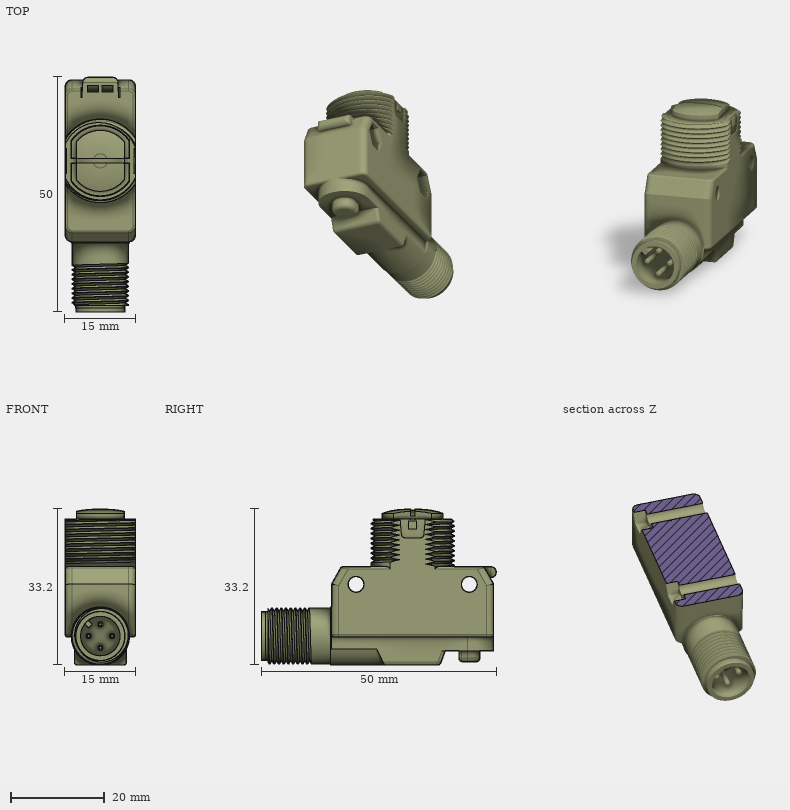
import cadquery as cq
import math


WIDTH = 15.0
LENGTH = 34.5
HOUSING_BOTTOM = 6.0
HOUSING_TOP = 20.95
SLOPE_START = 17.3
SLOPE_RUN = 2.05
CORNER_RADIUS = 1.5
EDGE_RADIUS = 0.5

HOLE_DIA = 3.3
HOLE_Y = 12.05
HOLE_Z = 17.2
NUT_ACROSS_CORNERS = 6.5
NUT_DEPTH = 2.5

BARREL_RADIUS = 8.9
BARREL_ROOT_RADIUS = 8.0
BARREL_TOP = 31.1
BARREL_CHAMFER = 0.6
BARREL_PITCH = 1.05
BARREL_GROOVE_Z = 22.25
BARREL_GROOVE_SWEEP = 150.0
BARREL_TURNS = 10

CAP_RADIUS = 6.5
CAP_HALF_WIDTH = 5.1
CAP_EDGE_Z = 32.3
CAP_TOP = 33.2
CAP_FLAT_RADIUS = 1.5
SLOT_WIDTH = 1.0
SLOT_CENTER_DEPTH = 0.2
SLOT_END_Z = 31.7

RING_RADIUS = 7.6
RING_HALF_WIDTH = 6.25
RING_GAP = 0.9
RING_GROOVE = 0.15

MARKER_TOP_WIDTH = 5.35
MARKER_BOTTOM_WIDTH = 4.7
MARKER_BOTTOM = 27.1
MARKER_RADIUS = 0.8
MARKER_DEPTH = 0.35
WINDOW_SIZE = 1.7
WINDOW_Z = 29.8

COVER_HALF_WIDTH = 5.55
COVER_PLATE_BOTTOM = 3.05
COVER_STEP_Y = 6.95
COVER_STEP_RUN = 1.1
BLOCK_FRONT_BOTTOM_Y = -6.0
BLOCK_FRONT_TOP_Y = -9.4
COVER_EDGE_RADIUS = 0.65
STEP_RADIUS = 0.9

FOOT_RADIUS = 2.6
FOOT_FRONT_Y = 9.85
FOOT_BOTTOM = 0.7
FOOT_CORNER_RADIUS = 0.5
FOOT_EDGE_RADIUS = 0.8

AXIS_Z = 6.2
FLANGE_RADIUS = AXIS_Z
FLANGE_THICKNESS = 0.25
CONNECTOR_RADIUS = 6.0
CONNECTOR_ROOT_RADIUS = 5.3
CONNECTOR_PITCH = 1.0
CONNECTOR_GROOVE_Y = -21.7
CONNECTOR_TURNS = 10
THREAD_END = -30.8
RUN_OUT_END = -31.3
RUN_OUT_RADIUS = 5.25
TIP_RADIUS = 5.2
TIP_END = -32.2
BORE_RADIUS = 4.2
BORE_DEPTH = 8.0
PIN_CIRCLE_RADIUS = 2.5
PIN_RADIUS = 0.55
PIN_LENGTH = 6.0
PIN_CHAMFER = 0.25
KEY_WIDTH = 1.1
KEY_INNER_RADIUS = 3.0
KEY_SETBACK = 1.0

LATCH_HALF_WIDTH = 3.75
LATCH_BACK = 17.8
LATCH_FRONT = 14.0
LATCH_HEIGHT = 2.3
LATCH_RADIUS = 1.1
SLIT_X = 4.0
SLIT_WIDTH = 0.3
SLIT_FRONT = 13.45
SLIT_DEPTH = 0.75
POCKET_INNER_X = 0.35
POCKET_WIDTH = 2.35
POCKET_BACK = 16.0
POCKET_RUN = 1.3
POCKET_DEPTH = 2.25

END_Y = LENGTH / 2
SIDE_X = WIDTH / 2
JOIN = 0.5
GROOVE_OVERCUT = 0.05
GROOVE_SPACING = 0.05


def yz_profile(points, half_width):
    """Prism along X through a closed (y, z) outline, centred on X = 0."""
    return cq.Workplane("YZ").polyline(points).close().extrude(half_width, both=True)


def cylinder_y(radius, start, end):
    """Cylinder on the connector axis running from Y = start to Y = end."""
    return (
        cq.Workplane("XZ", origin=(0, start, 0))
        .center(0, AXIS_Z)
        .circle(radius)
        .extrude(start - end)
    )


def thread_groove(root, crest, pitch, start_angle, sweep):
    """Right-handed V groove around +Z, starting at Z = 0 and turning through sweep degrees."""
    outer = crest + GROOVE_OVERCUT
    half_width = (pitch - GROOVE_SPACING) / 2
    helix = cq.Wire.makeHelix(pitch, pitch * sweep / 360, outer)
    groove = (
        cq.Workplane("XZ")
        .polyline([(outer, -half_width), (root, 0), (outer, half_width)])
        .close()
        .sweep(cq.Workplane(obj=helix), isFrenet=True)
    )
    return groove.rotate((0, 0, 0), (0, 0, 1), start_angle)


def make_housing():
    body = yz_profile(
        [
            (-END_Y, HOUSING_BOTTOM),
            (END_Y, HOUSING_BOTTOM),
            (END_Y, SLOPE_START),
            (END_Y - SLOPE_RUN, HOUSING_TOP),
            (-END_Y + SLOPE_RUN, HOUSING_TOP),
            (-END_Y, SLOPE_START),
        ],
        SIDE_X,
    )
    end_corners = body.faces("<X or >X").edges("not #Z").edges("not |Y")
    body = end_corners.fillet(CORNER_RADIUS)
    return body.faces("<Z or >Z").edges().fillet(EDGE_RADIUS)


def make_barrel():
    """Plain barrel with two flats, rising from inside the housing."""
    bottom = HOUSING_TOP - EDGE_RADIUS
    height = BARREL_TOP - bottom
    barrel = cq.Workplane(origin=(0, 0, bottom)).circle(BARREL_RADIUS).extrude(height)
    barrel = barrel.faces(">Z").chamfer(BARREL_CHAMFER)
    envelope = cq.Workplane(origin=(0, 0, bottom)).rect(WIDTH, 2 * BARREL_RADIUS).extrude(height)
    return barrel.intersect(envelope)


def make_barrel_thread():
    """One short groove per turn on each rounded side; the flats interrupt the thread."""
    grooves = []
    for side_angle, first_z in (
        (-90, BARREL_GROOVE_Z),
        (90, BARREL_GROOVE_Z - BARREL_PITCH / 2),
    ):
        start_angle = side_angle - BARREL_GROOVE_SWEEP / 2
        start_z = first_z - BARREL_PITCH * BARREL_GROOVE_SWEEP / 720
        groove = thread_groove(
            BARREL_ROOT_RADIUS, BARREL_RADIUS, BARREL_PITCH, start_angle, BARREL_GROOVE_SWEEP
        )
        for turn in range(BARREL_TURNS):
            grooves.append(groove.translate((0, 0, start_z + turn * BARREL_PITCH)).val())
    return grooves


def clipped_disc(radius, half_width, bottom, height):
    """Disc with two flats facing +X and -X."""
    disc = cq.Workplane(origin=(0, 0, bottom)).circle(radius).extrude(height)
    return disc.intersect(
        cq.Workplane(origin=(0, 0, bottom)).rect(2 * half_width, 2 * radius).extrude(height)
    )


def make_cap():
    """Domed cap with two flats and a screwdriver slot whose floor follows the dome."""
    rise = CAP_TOP - CAP_EDGE_Z
    run = CAP_RADIUS - CAP_FLAT_RADIUS
    dome = (
        cq.Workplane("XZ")
        .moveTo(0, BARREL_TOP)
        .lineTo(CAP_RADIUS, BARREL_TOP)
        .lineTo(CAP_RADIUS, CAP_EDGE_Z)
        .threePointArc((CAP_FLAT_RADIUS + run / 2, CAP_TOP - rise / 4), (CAP_FLAT_RADIUS, CAP_TOP))
        .lineTo(0, CAP_TOP)
        .close()
        .revolve(360, (0, 0, 0), (0, 1, 0))
    )
    blank = clipped_disc(CAP_RADIUS, CAP_HALF_WIDTH, BARREL_TOP, CAP_TOP)
    slot = (
        cq.Workplane("XZ")
        .moveTo(-CAP_HALF_WIDTH, SLOT_END_Z)
        .threePointArc((0, CAP_TOP - SLOT_CENTER_DEPTH), (CAP_HALF_WIDTH, SLOT_END_Z))
        .lineTo(CAP_HALF_WIDTH, CAP_TOP + JOIN)
        .lineTo(-CAP_HALF_WIDTH, CAP_TOP + JOIN)
        .close()
        .extrude(SLOT_WIDTH / 2, both=True)
    )
    return dome.intersect(blank).cut(slot)


def make_ring_grooves():
    """Two D-shaped outline grooves, mirrored about the slot."""
    bottom = BARREL_TOP - RING_GROOVE
    outer = clipped_disc(RING_RADIUS, RING_HALF_WIDTH, bottom, RING_GROOVE)
    inner = clipped_disc(RING_RADIUS - RING_GROOVE, RING_HALF_WIDTH - RING_GROOVE, bottom, RING_GROOVE)
    outer_gap = cq.Workplane(origin=(0, 0, bottom)).rect(WIDTH, RING_GAP).extrude(RING_GROOVE)
    inner_gap = (
        cq.Workplane(origin=(0, 0, bottom)).rect(WIDTH, RING_GAP + 2 * RING_GROOVE).extrude(RING_GROOVE)
    )
    return outer.cut(outer_gap).cut(inner.cut(inner_gap))


def make_marker(side):
    """Tapered recess with a raised square window, on the +X or -X flat."""
    recess = (
        cq.Workplane("YZ", origin=(side * (SIDE_X - MARKER_DEPTH / 2), 0, 0))
        .polyline(
            [
                (-MARKER_TOP_WIDTH / 2, BARREL_TOP),
                (MARKER_TOP_WIDTH / 2, BARREL_TOP),
                (MARKER_BOTTOM_WIDTH / 2, MARKER_BOTTOM),
                (-MARKER_BOTTOM_WIDTH / 2, MARKER_BOTTOM),
            ]
        )
        .close()
        .extrude(MARKER_DEPTH / 2, both=True)
        .edges("|X and <Z")
        .fillet(MARKER_RADIUS)
    )
    window = cq.Workplane(origin=(side * SIDE_X, 0, WINDOW_Z)).box(2 * MARKER_DEPTH, WINDOW_SIZE, WINDOW_SIZE)
    return recess.cut(window)


def make_cover():
    """Bottom cover: a thin plate with a half-round rear end, stepping down to a deep block."""
    top = HOUSING_BOTTOM + EDGE_RADIUS + JOIN
    body = yz_profile(
        [
            (END_Y, top),
            (END_Y, COVER_PLATE_BOTTOM),
            (COVER_STEP_Y, COVER_PLATE_BOTTOM),
            (COVER_STEP_Y - COVER_STEP_RUN, 0),
            (BLOCK_FRONT_BOTTOM_Y, 0),
            (BLOCK_FRONT_TOP_Y, top),
        ],
        COVER_HALF_WIDTH,
    )
    round_center = END_Y - COVER_HALF_WIDTH
    plan = (
        cq.Workplane()
        .moveTo(-COVER_HALF_WIDTH, -END_Y)
        .lineTo(COVER_HALF_WIDTH, -END_Y)
        .lineTo(COVER_HALF_WIDTH, round_center)
        .threePointArc((0, END_Y), (-COVER_HALF_WIDTH, round_center))
        .close()
        .extrude(top)
    )
    step_corner = cq.selectors.NearestToPointSelector((0, COVER_STEP_Y - COVER_STEP_RUN, 0))
    body = body.edges(step_corner).fillet(STEP_RADIUS).intersect(plan)
    return body.faces("<Z").edges("not <Y").fillet(COVER_EDGE_RADIUS)


def make_foot():
    """Foot with a half-round rear end, centred under the rear of the cover."""
    center_y = END_Y - COVER_HALF_WIDTH
    return (
        cq.Workplane(origin=(0, 0, FOOT_BOTTOM))
        .moveTo(-FOOT_RADIUS, FOOT_FRONT_Y)
        .lineTo(FOOT_RADIUS, FOOT_FRONT_Y)
        .lineTo(FOOT_RADIUS, center_y)
        .threePointArc((0, center_y + FOOT_RADIUS), (-FOOT_RADIUS, center_y))
        .close()
        .extrude(HOUSING_BOTTOM - FOOT_BOTTOM)
        .edges("|Z and <Y")
        .fillet(FOOT_CORNER_RADIUS)
        .faces("<Z")
        .edges()
        .fillet(FOOT_EDGE_RADIUS)
    )


def make_connector_base():
    """Half-sunk cylinder under the housing with the flange, shank and tip of the connector."""
    sunk = cylinder_y(AXIS_Z, BLOCK_FRONT_BOTTOM_Y + JOIN, -END_Y)
    sunk = sunk.intersect(cq.Workplane().box(2 * COVER_HALF_WIDTH, 2 * LENGTH, 4 * AXIS_Z))
    flange_end = -END_Y - FLANGE_THICKNESS
    flange = cylinder_y(FLANGE_RADIUS, -END_Y, flange_end)
    shank = cylinder_y(CONNECTOR_RADIUS, flange_end, THREAD_END)
    run_out = cylinder_y(RUN_OUT_RADIUS, THREAD_END, RUN_OUT_END)
    tip = cylinder_y(TIP_RADIUS, RUN_OUT_END, TIP_END)
    return [sunk, flange, shank, run_out, tip]


def make_connector_thread():
    """Full-turn groove segments along the connector, each continuing the one before."""
    turn = (
        thread_groove(CONNECTOR_ROOT_RADIUS, CONNECTOR_RADIUS, CONNECTOR_PITCH, 180, 360)
        .rotate((0, 0, 0), (1, 0, 0), 90)
        .translate((0, CONNECTOR_GROOVE_Y, AXIS_Z))
    )
    return [turn.translate((0, -index * CONNECTOR_PITCH, 0)).val() for index in range(CONNECTOR_TURNS)]


def make_socket():
    """Space inside the connector: the bore less its four pins and the key."""
    floor = TIP_END + BORE_DEPTH
    socket = cylinder_y(BORE_RADIUS, floor, TIP_END)
    pin_plane = cq.Workplane("XZ", origin=(0, floor, AXIS_Z))
    pins = (
        pin_plane.polarArray(PIN_CIRCLE_RADIUS, 0, 360, 4)
        .circle(PIN_RADIUS)
        .extrude(PIN_LENGTH)
        .faces("<Y")
        .chamfer(PIN_CHAMFER)
    )
    key_length = CONNECTOR_ROOT_RADIUS - KEY_INNER_RADIUS
    key = (
        pin_plane.transformed(rotate=(0, 0, 135))
        .center(KEY_INNER_RADIUS + key_length / 2, 0)
        .rect(key_length, KEY_WIDTH)
        .extrude(BORE_DEPTH - KEY_SETBACK)
    )
    return socket.cut(pins).cut(key)


def make_latch():
    """Rounded bar that stands out of the top rear edge of the housing."""
    bottom = HOUSING_TOP - LATCH_HEIGHT
    latch = cq.Workplane().box(
        2 * LATCH_HALF_WIDTH, LATCH_BACK - LATCH_FRONT, LATCH_HEIGHT, centered=(True, False, False)
    )
    latch = latch.edges(">Y").fillet(LATCH_RADIUS)
    return latch.translate((0, LATCH_FRONT, bottom))


def make_latch_cuts():
    """Slits beside the latch and the two wedge-shaped pockets in its top."""
    slits = (
        cq.Workplane(origin=(0, 0, HOUSING_TOP - SLIT_DEPTH))
        .pushPoints([(-SLIT_X, (SLIT_FRONT + END_Y) / 2), (SLIT_X, (SLIT_FRONT + END_Y) / 2)])
        .rect(SLIT_WIDTH, END_Y - SLIT_FRONT)
        .extrude(SLIT_DEPTH)
    )
    pocket_front = POCKET_BACK - POCKET_RUN
    pocket = (
        cq.Workplane("YZ", origin=(POCKET_INNER_X, 0, 0))
        .polyline(
            [
                (POCKET_BACK, HOUSING_TOP),
                (pocket_front, HOUSING_TOP),
                (pocket_front, HOUSING_TOP - POCKET_DEPTH),
            ]
        )
        .close()
        .extrude(POCKET_WIDTH)
    )
    return slits.union(pocket).union(pocket.mirror("YZ"))


def make_mounting_hole(y):
    """Through hole with a hexagonal nut recess in the -X side."""
    hole = cq.Workplane("YZ", origin=(-SIDE_X, y, HOLE_Z)).circle(HOLE_DIA / 2).extrude(WIDTH)
    recess = cq.Workplane("YZ", origin=(-SIDE_X, y, HOLE_Z)).polygon(6, NUT_ACROSS_CORNERS).extrude(NUT_DEPTH)
    return hole.union(recess)


body = make_housing().union(make_cover()).union(make_foot()).union(make_latch())
body = body.cut(make_latch_cuts())
for hole_y in (-HOLE_Y, HOLE_Y):
    body = body.cut(make_mounting_hole(hole_y))
for piece in make_connector_base():
    body = body.union(piece)
body = body.cut(make_socket())
body = body.union(make_barrel()).cut(make_ring_grooves())
for side in (-1, 1):
    body = body.cut(make_marker(side))
body = body.union(make_cap())
grooves = make_barrel_thread() + make_connector_thread()
result = cq.Workplane(body.val().cut(*grooves).Solids()[0])